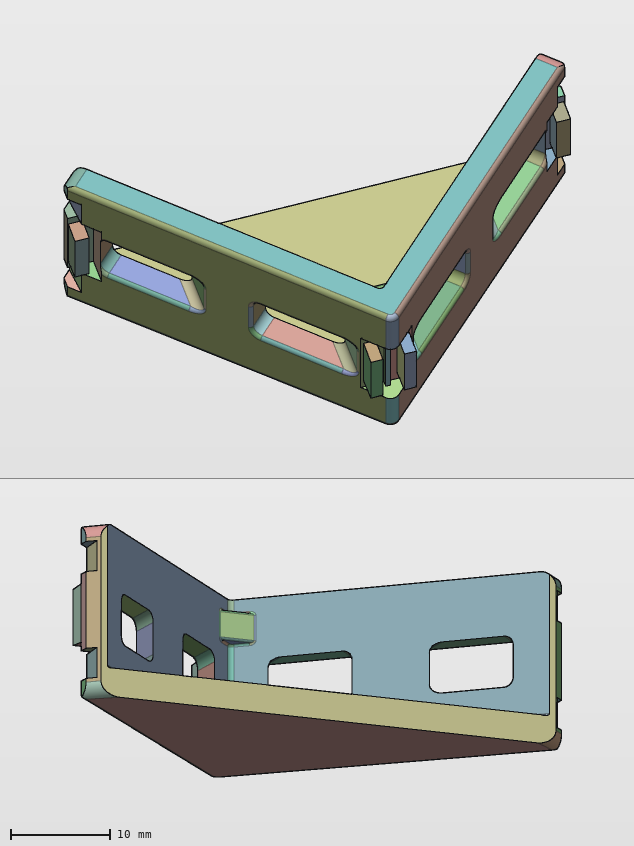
import cadquery as cq
import math


overall_length = 39.5
leg_length = 38.0
height = 18.0
middle_z = height / 2
wall = 3.0
web_thickness = 2.95
web_tilt = 0.9
end_chamfer = 0.85
free_edge_start = 2.5
end_round = 1.5
outer_corner_radius = 1.0
outer_edge_radius = 0.5
inner_corner_radius = 0.5
floor_radius = 0.25

slot_length = 9.0
slot_height = 5.3
slot_radius = 1.0
slot_edge_radius = 0.4
slot_far_ends = (33.58, 16.2)

tab_overhang = overall_length - leg_length
tab_tip_height = 5.8
tab_base_height = 6.15
tab_embed = 0.4
notch_height = 7.98
end_notch_start = leg_length - end_chamfer
end_notch_depth = 1.95
end_tab_start = 37.0
end_tab_thickness = 1.5
corner_notch_side = 3.85
corner_tab_start = 3.4
corner_tab_thickness = 1.25
corner_rib_width = 0.5
corner_rib_height = 0.6

recess_height = 14.22
recess_along = 2.45
recess_across = 2.05

gusset_leg = 2.75
gusset_height = 3.1
gusset_middle_z = 14.9
gusset_radius = 0.25

half_root = math.sqrt(0.5)
mirror_normal = (1, 1, 0)
selection_margin = 0.05


def prism(points, length, centre_z):
    """Upright prism over an XY outline, centred on centre_z."""
    base = cq.Workplane("XY").workplane(offset=centre_z - length / 2)
    return base.polyline(points).close().extrude(length)


def mirrored(shape):
    """The same shape on leg B."""
    return shape.mirror(mirror_normal)


def box_around(low, high):
    """Selector for edges whose centres lie between two corner points, with a small margin."""
    return cq.selectors.BoxSelector(
        tuple(value - selection_margin for value in low),
        tuple(value + selection_margin for value in high),
    )


def space_above_web_plane(edge_z):
    """Everything above the tilted plane that passes through the free edge of the web at edge_z."""
    free_edge_middle = (leg_length - free_edge_start) / 2
    middle_x = -leg_length + free_edge_middle
    middle_y = free_edge_start + free_edge_middle
    across = cq.Plane(origin=(middle_x, middle_y, edge_z), xDir=(1, -1, 0), normal=(-1, -1, 0))
    reach = 2 * leg_length
    rise = reach * math.tan(math.radians(web_tilt))
    outline = [(-reach, -rise), (reach, rise), (reach, reach), (-reach, reach)]
    return cq.Workplane(across).polyline(outline).close().extrude(reach, both=True)


def pocket():
    """Open space between the legs, above the web."""
    reach = 2 * leg_length
    outline = [(-wall, wall), (-wall, wall + reach), (-wall - reach, wall)]
    space = prism(outline, 2 * height, height).intersect(space_above_web_plane(web_thickness))
    inner_corner = box_around((-wall, wall, 0), (-wall, wall, 2 * height))
    space = space.edges("|Z").edges(inner_corner).fillet(inner_corner_radius)
    return space.faces("<Z").edges("not >(-1,1,0)").fillet(floor_radius)


def block():
    """Solid corner block with rounded outer edges."""
    outline = [
        (0, 0),
        (-leg_length, 0),
        (-leg_length, free_edge_start),
        (-free_edge_start, leg_length),
        (0, leg_length),
    ]
    solid = prism(outline, height, middle_z).intersect(space_above_web_plane(0))
    outer_corner = box_around((0, 0, 0), (0, 0, height))
    solid = solid.edges("|Z").edges(outer_corner).fillet(outer_corner_radius)
    return solid.faces("<Y or >X").edges("not |Z").fillet(outer_edge_radius)


def end_envelope():
    """Bounding block that rounds the top and bottom of the end of leg A."""
    length = 2 * leg_length
    envelope = cq.Workplane("XY").box(length, 3 * leg_length, height, centered=(False, True, False))
    return envelope.translate((-leg_length, 0, 0)).edges("<X and |Y").fillet(end_round)


def end_chamfer_cut():
    """Wedge that takes the outer edge off the end of leg A."""
    corner = (-leg_length, 0)
    outline = [corner, (-leg_length + end_chamfer, 0), (-leg_length, end_chamfer)]
    return prism(outline, 2 * height, middle_z)


def slot(far_end):
    """Slot through leg A; the end nearer the corner slopes at 45 degrees, the other is square."""
    near_end = far_end - slot_length
    outline = [(-far_end, 0), (-far_end, wall), (-near_end, wall), (-near_end + wall, 0)]
    cutter = prism(outline, slot_height, middle_z)
    return cutter.edges("|Y or |(1,-1,0)").fillet(slot_radius)


def tab(start, thickness, notch_floor):
    """Tab leaning out of leg A at 45 degrees, tapering in height towards its tip."""
    tip = cq.Plane(
        origin=(-start + tab_overhang, -tab_overhang, middle_z),
        xDir=(-1, 1, 0),
        normal=(1, 1, 0),
    )
    length = (notch_floor - start + 2 * tab_overhang) * half_root + tab_embed
    outline = [
        (0, -tab_tip_height / 2),
        (length, -tab_base_height / 2),
        (length, tab_base_height / 2),
        (0, tab_tip_height / 2),
    ]
    return cq.Workplane(tip).polyline(outline).close().extrude(thickness)


def end_notch():
    """Triangular notch beside the end tab."""
    outline = [
        (-end_notch_start, 0),
        (-end_notch_start + end_notch_depth, end_notch_depth),
        (-end_notch_start + 2 * end_notch_depth, 0),
    ]
    return prism(outline, notch_height, middle_z)


def end_recess():
    """Two shallow cuts across the leg end, one above and one below the notch."""
    corner = (-leg_length, 0)
    outline = [corner, (-leg_length + recess_along, 0), (-leg_length, recess_across)]
    whole = prism(outline, recess_height, middle_z)
    return whole.cut(prism(outline, notch_height, middle_z))


def corner_notch():
    """Notch that cuts the outer corner off at 45 degrees, around the two corner tabs."""
    outline = [(0, 0), (-corner_notch_side, 0), (0, corner_notch_side)]
    return prism(outline, notch_height, middle_z)


def corner_rib():
    """Narrow rib standing on the middle of the corner notch."""
    rib = cq.Workplane("XY").box(2 * corner_rib_height, corner_rib_width, notch_height)
    rib = rib.rotate((0, 0, 0), (0, 0, 1), -45)
    return rib.translate((-corner_notch_side / 2, corner_notch_side / 2, middle_z))


def gusset():
    """Triangular gusset in the inner corner with a rounded free face."""
    outline = [
        (-wall - gusset_leg, wall),
        (-wall, wall + gusset_leg),
        (-wall / 2, wall + gusset_leg),
        (-wall / 2, wall / 2),
        (-wall - gusset_leg, wall / 2),
    ]
    return prism(outline, gusset_height, gusset_middle_z)


body = block().cut(pocket())
for end_shape in (end_envelope(), mirrored(end_envelope())):
    body = body.intersect(end_shape)

for far_end in slot_far_ends:
    for cutter in (slot(far_end), mirrored(slot(far_end))):
        body = body.cut(cutter)
rim_low = middle_z - slot_height
rim_high = middle_z + slot_height
leg_a_rims = box_around((-leg_length + end_chamfer, 0, rim_low), (-outer_corner_radius, 0, rim_high))
leg_b_rims = box_around((0, outer_corner_radius, rim_low), (0, leg_length - end_chamfer, rim_high))
for rims in (leg_a_rims, leg_b_rims):
    body = body.edges(rims).fillet(slot_edge_radius)

body = body.union(gusset())
gusset_edges = box_around(
    (-wall - gusset_leg, wall, gusset_middle_z - gusset_height / 2),
    (-wall, wall + gusset_leg, gusset_middle_z + gusset_height / 2),
)
body = body.edges(gusset_edges).fillet(gusset_radius)

for cutter in (end_chamfer_cut(), end_recess(), end_notch()):
    body = body.cut(cutter).cut(mirrored(cutter))
body = body.cut(corner_notch())

end_tab = tab(end_tab_start, end_tab_thickness, end_notch_start)
corner_tab = tab(corner_tab_start, corner_tab_thickness, corner_notch_side)
for tab_shape in (end_tab, corner_tab):
    body = body.union(tab_shape).union(mirrored(tab_shape))
body = body.union(corner_rib())

result = body